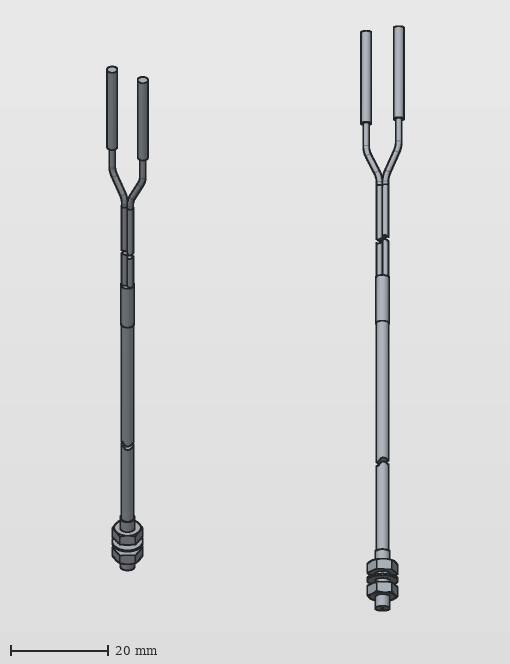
import cadquery as cq
import math

total_length = 127.3

fibre_radius = 0.66
arm_radius = 0.6
fibre_top = 93.2
plug_diameter = 2.2
plug_length = 20.0
plug_spacing = 7.3
free_length = 5.0
bend_radius = 5.0
bend_angle = math.radians(26)

upper_break_z = 81.2
lower_break_z = 32.2
break_gap = 0.9
wave_height = 0.4
trim_depth = 1.3
blank_overrun = trim_depth / 2

cable_diameter = 2.7
sleeve_diameter = 2.8
sleeve_top = 73.0
sleeve_length = 10.0
head_diameter = 3.0
head_top = 12.9
head_bottom = 0.4
tip_diameter = 0.5

nut_corners = 6.4
nut_height = 2.3
lower_nut_z = 2.9
upper_nut_z = 8.0
nut_chamfer_diameter = 5.5
nut_chamfer_slope = math.radians(30)
washer_diameter = 6.4
washer_thickness = 0.4
washer_z = 6.5


def rod(diameter, bottom, top):
    """Solid cylinder on the Z axis."""
    return cq.Workplane("XY").workplane(offset=bottom).circle(diameter / 2).extrude(top - bottom)


def wave_trim(edge_z, depth):
    """Block with an S-shaped side at edge_z; it reaches up for a positive depth, else down."""
    reach = cable_diameter
    crest = cable_diameter / 4
    return (
        cq.Workplane("XZ")
        .moveTo(-reach, edge_z + depth)
        .lineTo(-reach, edge_z)
        .lineTo(-2 * crest, edge_z)
        .threePointArc((-crest, edge_z + wave_height), (0, edge_z))
        .threePointArc((crest, edge_z - wave_height), (2 * crest, edge_z))
        .lineTo(reach, edge_z)
        .lineTo(reach, edge_z + depth)
        .close()
        .extrude(cable_diameter, both=True)
    )


def trim_bottom(body, break_z):
    """Give the body above a break its wavy lower end."""
    return body.cut(wave_trim(break_z + break_gap / 2, -trim_depth))


def trim_top(body, break_z):
    """Give the body below a break its wavy upper end."""
    return body.cut(wave_trim(break_z - break_gap / 2, trim_depth))


def make_fibre(side):
    """Forked fibre with its plug; side is -1 or +1 along X."""
    start_z = upper_break_z - blank_overrun
    plug_x = plug_spacing / 2
    plug_bottom = total_length - plug_length
    fork_top = plug_bottom - free_length

    arc_x = bend_radius * (1 - math.cos(bend_angle))
    arc_z = bend_radius * math.sin(bend_angle)
    mid_arc_x = bend_radius * (1 - math.cos(bend_angle / 2))
    mid_arc_z = bend_radius * math.sin(bend_angle / 2)
    slant_x = plug_x - fibre_radius - 2 * arc_x
    slant_z = slant_x / math.tan(bend_angle)
    fork_bottom = fork_top - slant_z - 2 * arc_z

    path = (
        cq.Workplane("XZ")
        .moveTo(side * fibre_radius, fibre_top)
        .lineTo(side * fibre_radius, fork_bottom)
        .threePointArc(
            (side * (fibre_radius + mid_arc_x), fork_bottom + mid_arc_z),
            (side * (fibre_radius + arc_x), fork_bottom + arc_z),
        )
        .lineTo(side * (plug_x - arc_x), fork_top - arc_z)
        .threePointArc(
            (side * (plug_x - mid_arc_x), fork_top - mid_arc_z),
            (side * plug_x, fork_top),
        )
        .lineTo(side * plug_x, plug_bottom)
    )
    arm = (
        cq.Workplane("XY", origin=(side * fibre_radius, 0, fibre_top))
        .circle(arm_radius)
        .sweep(path)
    )
    fibre = rod(2 * fibre_radius, start_z, fibre_top).translate((side * fibre_radius, 0, 0))
    plug = rod(plug_diameter, plug_bottom, total_length).translate((side * plug_x, 0, 0))
    return trim_bottom(fibre.union(arm).union(plug), upper_break_z)


def make_middle_cable():
    """Twin fibre ends, the sleeve that joins them, and the round cable below it."""
    sleeve_bottom = sleeve_top - sleeve_length
    cable = rod(cable_diameter, lower_break_z - blank_overrun, sleeve_bottom)
    middle = rod(sleeve_diameter, sleeve_bottom, sleeve_top).union(trim_bottom(cable, lower_break_z))
    for side in (-1, 1):
        stub = rod(2 * fibre_radius, sleeve_top, upper_break_z + blank_overrun)
        stub = stub.translate((side * fibre_radius, 0, 0))
        middle = middle.union(trim_top(stub, upper_break_z))
    return middle


def make_head():
    """Lower cable end with the threaded head and the fibre tip."""
    cable = trim_top(rod(cable_diameter, head_top, lower_break_z + blank_overrun), lower_break_z)
    head = rod(head_diameter, head_bottom, head_top)
    tip = rod(tip_diameter, 0, head_bottom)
    return cable.union(head).union(tip)


def make_nut(bottom, chamfer_on_top):
    """Hexagon nut with corners on Y, chamfered on the face away from the washer."""
    nut = (
        cq.Workplane("XY")
        .polygon(6, nut_corners)
        .circle(head_diameter / 2)
        .extrude(nut_height)
        .rotate((0, 0, 0), (0, 0, 1), 90)
    )
    cone_radius = nut_chamfer_diameter / 2 + nut_height / math.tan(nut_chamfer_slope)
    envelope = (
        cq.Workplane("XZ")
        .lineTo(cone_radius, 0)
        .lineTo(nut_chamfer_diameter / 2, nut_height)
        .lineTo(0, nut_height)
        .close()
        .revolve(360, (0, 0, 0), (0, 1, 0))
    )
    nut = nut.intersect(envelope)
    if not chamfer_on_top:
        nut = nut.mirror("XY").translate((0, 0, nut_height))
    return nut.translate((0, 0, bottom))


def make_washer():
    """Flat washer that sits on the head between the two nuts."""
    return (
        cq.Workplane("XY")
        .workplane(offset=washer_z)
        .circle(washer_diameter / 2)
        .circle(head_diameter / 2)
        .extrude(washer_thickness)
    )


fibres = [make_fibre(side) for side in (-1, 1)]
middle_cable = make_middle_cable()
head = make_head()
nuts = [make_nut(lower_nut_z, False), make_nut(upper_nut_z, True)]
washer = make_washer()

result = cq.Compound.makeCompound(
    [
        *[fibre.val() for fibre in fibres],
        middle_cable.val(),
        head.val(),
        *[nut.val() for nut in nuts],
        washer.val(),
    ]
)